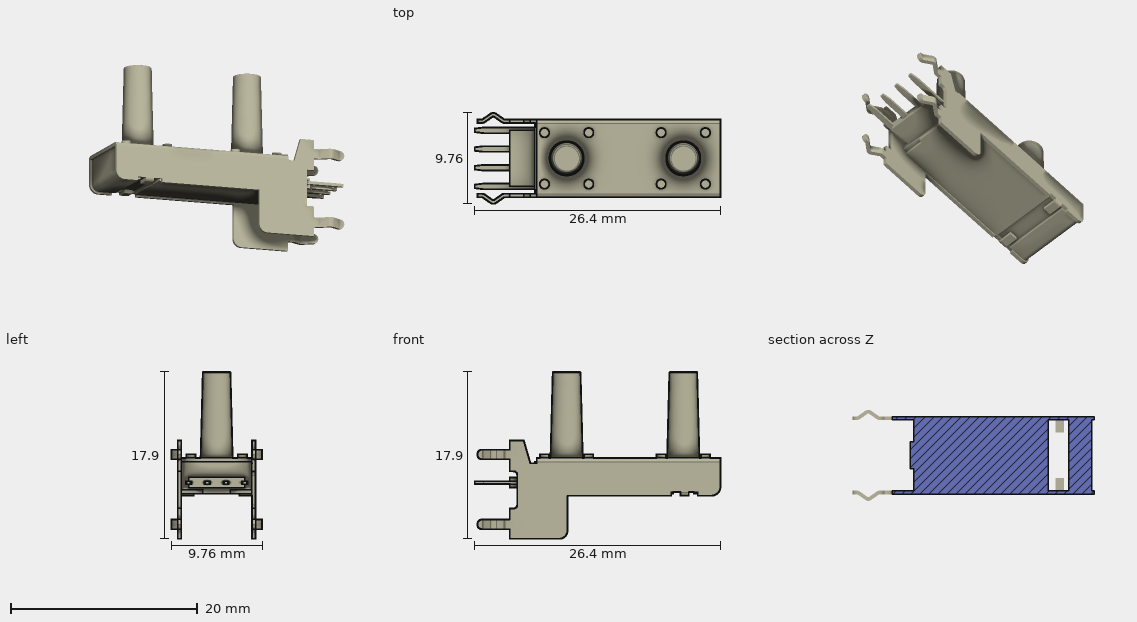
import cadquery as cq
import math


sheet = 0.4
frame_width = 8.35
frame_end = 26.38
roof_start = 6.65
roof_top = 8.68
roof_bottom = roof_top - sheet
outer_y = frame_width / 2
inner_y = outer_y - sheet

plate_front = 3.75
plate_top = 10.55
horn_top_end = 5.28
horn_foot = 6.0
horn_foot_z = 8.13
long_edge_z = 4.62
long_corner_radius = 1.0
leg_end = 9.97
leg_corner_radius = 0.9
bay_back = 4.56
bay_bottom = 3.27
bay_top = 7.23
bay_radius = 0.4

gap_start = 21.1
gap_end = 23.9
gap_top = long_edge_z + sheet
tab_start = 22.05
tab_length_x = 0.92
tab_tip_y = 2.43

prong_tip = 0.3
prong_height = 1.05
prong_tip_radius = 0.5
prong_levels = (1.55, 9.05)
kink_x = 2.0
kink_reach = 4.88
kink_angle = math.radians(35)
tight_bend = 0.13
wide_bend = tight_bend + sheet

body_front = 6.45
body_end = 26.17
body_bottom = 4.83
body_corner_radius = long_corner_radius - (frame_end - body_end)
block_front = plate_front
block_width = 6.0
block_height = 1.1
recess_top = 5.25
channel_start = 21.32
channel_end = 23.48
front_recess_inner_y = 1.48
front_recess_depth = 0.4

pin_count = 4
pin_pitch = 2.0
pin_width = 0.63
pin_tip_width = 0.4
pin_taper_length = 0.95
pin_height = 0.32
pin_z = 6.05

button_pitch = 12.5
first_button_x = 9.87
button_xs = (first_button_x, first_button_x + button_pitch)
button_base_diameter = 3.5
button_top_diameter = 3.0
button_top = 17.9
button_rounding = 0.15
button_hole_diameter = 3.7
stud_diameter = 1.0
stud_top = 9.1
stud_pitch_x = 4.75
stud_pitch_y = 5.51


def box(x_range, y_range, z_range):
    """Block spanning the given ranges along X, Y and Z."""
    spans = (x_range, y_range, z_range)
    lengths = [high - low for low, high in spans]
    corner = [low for low, high in spans]
    return cq.Workplane("XY").box(*lengths, centered=False).translate(tuple(corner))


def round_edge(shape, direction, middle, radius):
    """Round the one edge that runs in the given direction and has its middle at the given point."""
    return shape.edges(direction).edges(cq.selectors.NearestToPointSelector(middle)).fillet(radius)


def both_sides(shape):
    """The shape together with its mirror image across the middle plane."""
    return shape.union(shape.mirror("XZ"))


def side_plate():
    """Side plate on the -Y side, with its horn and leg."""
    outline = [
        (plate_front, 0),
        (leg_end, 0),
        (leg_end, long_edge_z),
        (gap_start, long_edge_z),
        (gap_start, gap_top),
        (gap_end, gap_top),
        (gap_end, long_edge_z),
        (frame_end, long_edge_z),
        (frame_end, roof_bottom),
        (roof_start, roof_bottom),
        (roof_start, horn_foot_z),
        (horn_foot, horn_foot_z),
        (horn_top_end, plate_top),
        (plate_front, plate_top),
    ]
    plate = cq.Workplane("XZ", origin=(0, -inner_y, 0)).polyline(outline).close().extrude(sheet)

    middle_y = -(inner_y + outer_y) / 2
    plate = round_edge(plate, "|Y", (leg_end, middle_y, 0), leg_corner_radius)
    plate = round_edge(plate, "|Y", (frame_end, middle_y, long_edge_z), long_corner_radius)
    return plate


def front_bay():
    """Square-cornered cut in the front edge of the -Y side plate, beside the pins."""
    return box((plate_front, bay_back), (-outer_y, -inner_y), (bay_bottom, bay_top))


def roof():
    """Flat roof with bends of one sheet thickness along both sides and a clearance hole for each button."""
    diagonal = sheet * math.sqrt(0.5)
    slab = (
        cq.Workplane("YZ", origin=(roof_start, 0, 0))
        .moveTo(-outer_y, roof_bottom)
        .threePointArc((-inner_y - diagonal, roof_bottom + diagonal), (-inner_y, roof_top))
        .lineTo(inner_y, roof_top)
        .threePointArc((inner_y + diagonal, roof_bottom + diagonal), (outer_y, roof_bottom))
        .close()
        .extrude(frame_end - roof_start)
    )
    holes = (
        cq.Workplane("XY", origin=(0, 0, roof_bottom))
        .pushPoints([(x, 0) for x in button_xs])
        .circle(button_hole_diameter / 2)
        .extrude(sheet)
    )
    return slab.cut(holes)


def folded_tab():
    """Tab bent inward under the body from the gap in the -Y side plate."""
    diagonal = sheet * math.sqrt(0.5)
    return (
        cq.Workplane("YZ", origin=(tab_start, 0, 0))
        .moveTo(-outer_y, gap_top)
        .threePointArc((-inner_y - diagonal, gap_top - diagonal), (-inner_y, long_edge_z))
        .lineTo(-tab_tip_y, long_edge_z)
        .lineTo(-tab_tip_y, gap_top)
        .close()
        .extrude(tab_length_x)
    )


def prong(level):
    """Prong on the -Y side plate: a strip kinked outward, with a rounded tip, centred on the given height."""
    outer_peak_y = kink_reach + wide_bend * (1 / math.cos(kink_angle) - 1)
    inner_peak_y = outer_peak_y - sheet / math.cos(kink_angle)
    outer_run = (outer_peak_y - outer_y) / math.tan(kink_angle)
    inner_run = (inner_peak_y - inner_y) / math.tan(kink_angle)
    outer_feet = [(kink_x - outer_run, -outer_y), (kink_x + outer_run, -outer_y)]
    inner_feet = [(kink_x - inner_run, -inner_y), (kink_x + inner_run, -inner_y)]
    outer_peak = (kink_x, -outer_peak_y)
    inner_peak = (kink_x, -inner_peak_y)

    bottom = level - prong_height / 2
    strip = (
        cq.Workplane("XY", origin=(0, 0, bottom))
        .moveTo(prong_tip, -inner_y)
        .lineTo(*inner_feet[0])
        .lineTo(*inner_peak)
        .lineTo(*inner_feet[1])
        .lineTo(plate_front, -inner_y)
        .lineTo(plate_front, -outer_y)
        .lineTo(*outer_feet[1])
        .lineTo(*outer_peak)
        .lineTo(*outer_feet[0])
        .lineTo(prong_tip, -outer_y)
        .close()
        .extrude(prong_height)
    )
    for corner in (inner_peak, *outer_feet):
        strip = round_edge(strip, "|Z", (*corner, level), tight_bend)
    for corner in (outer_peak, *inner_feet):
        strip = round_edge(strip, "|Z", (*corner, level), wide_bend)
    return strip.edges("|Y and <X").fillet(prong_tip_radius)


def body():
    """Plastic body between the side plates, with its connector block and underside recesses."""
    housing = box((body_front, body_end), (-inner_y, inner_y), (body_bottom, roof_bottom))
    housing = housing.edges("|Y and >X and <Z").fillet(body_corner_radius)
    recess_z = (body_bottom, recess_top)
    tab_channel = box((channel_start, channel_end), (-inner_y, inner_y), recess_z)
    front_recess = box(
        (body_front, body_front + front_recess_depth),
        (-inner_y, -front_recess_inner_y),
        recess_z,
    )
    housing = housing.cut(tab_channel).cut(both_sides(front_recess))
    block = box(
        (block_front, body_front),
        (-block_width / 2, block_width / 2),
        (pin_z - block_height / 2, pin_z + block_height / 2),
    )
    return housing.union(block)


def pin(y):
    """Flat connector pin with a tapered tip, running back to the body."""
    return (
        cq.Workplane("XY", origin=(0, y, pin_z - pin_height / 2))
        .polyline([
            (0, -pin_tip_width / 2),
            (pin_taper_length, -pin_width / 2),
            (body_front, -pin_width / 2),
            (body_front, pin_width / 2),
            (pin_taper_length, pin_width / 2),
            (0, pin_tip_width / 2),
        ])
        .close()
        .extrude(pin_height)
    )


def button(x):
    """Tapered button standing on the body, with a rounded top edge."""
    shaft = (
        cq.Workplane("XY", origin=(x, 0, roof_bottom))
        .circle(button_base_diameter / 2)
        .workplane(offset=button_top - roof_bottom)
        .circle(button_top_diameter / 2)
        .loft()
    )
    return shaft.faces(">Z").edges().fillet(button_rounding)


def studs(x):
    """Four studs passing through the roof around the button at x."""
    return (
        cq.Workplane("XY", origin=(x, 0, roof_bottom))
        .rect(stud_pitch_x, stud_pitch_y, forConstruction=True)
        .vertices()
        .circle(stud_diameter / 2)
        .extrude(stud_top - roof_bottom)
    )


side = side_plate().union(folded_tab())
for prong_level in prong_levels:
    side = side.union(prong(prong_level))

near_side = side.cut(front_bay().edges("|Y and >X").fillet(bay_radius))
far_side = side.cut(front_bay()).mirror("XZ")

result = body().union(near_side).union(far_side).union(roof())
for button_x in button_xs:
    result = result.union(button(button_x)).union(studs(button_x))
for pin_index in range(pin_count):
    result = result.union(pin((pin_index - (pin_count - 1) / 2) * pin_pitch))